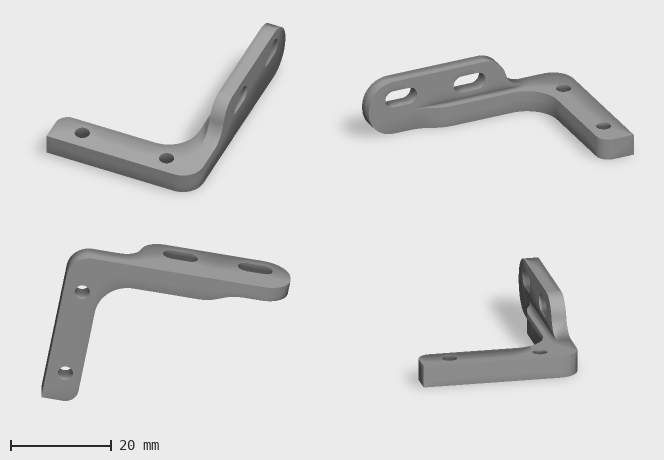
import cadquery as cq
import math

length_x = 32.0
length_y = 44.3
height = 11.5

base_height = 4.45
foot_width = 7.0
arm_width = 5.0
outer_corner_radius = 4.45
inner_corner_radius = 6.55
foot_end_radius = 2.6
taper_start_y = 26.65
taper_radius = 9.65

plate_thickness = 3.0
plate_end_radius = 5.5
shoulder_y = 19.0
shoulder_radius = 5.0
shoulder_foot_radius = 4.5

hole_diameter = 3.0
hole_y = 3.7
hole_xs = (6.05, 24.35)
slot_length = 7.0
slot_width = 3.6
slot_z = 7.6
slot_ys = (37.15, 22.1)

arm_x = length_x - arm_width
plate_x = length_x - plate_thickness


def make_base():
    """L-shaped base whose long arm narrows to the plate through an S-curve."""
    step = plate_x - arm_x
    turn = math.acos(1 - step / (2 * taper_radius))
    half_rise = taper_radius * math.sin(turn)
    bow = taper_radius * (1 - math.cos(turn / 2))
    bow_rise = taper_radius * math.sin(turn / 2)
    taper_end_y = taper_start_y + 2 * half_rise
    corner_cut = 1 - math.sqrt(0.5)
    outline = (
        cq.Workplane("XY")
        .moveTo(0, 0)
        .lineTo(length_x - outer_corner_radius, 0)
        .threePointArc(
            (length_x - outer_corner_radius * corner_cut, outer_corner_radius * corner_cut),
            (length_x, outer_corner_radius),
        )
        .lineTo(length_x, taper_end_y)
        .lineTo(plate_x, taper_end_y)
        .threePointArc(
            (plate_x - bow, taper_end_y - bow_rise),
            (arm_x + step / 2, taper_start_y + half_rise),
        )
        .threePointArc((arm_x + bow, taper_start_y + bow_rise), (arm_x, taper_start_y))
        .lineTo(arm_x, foot_width + inner_corner_radius)
        .threePointArc(
            (arm_x - inner_corner_radius * corner_cut, foot_width + inner_corner_radius * corner_cut),
            (arm_x - inner_corner_radius, foot_width),
        )
        .lineTo(foot_end_radius, foot_width)
        .threePointArc(
            (foot_end_radius * corner_cut, foot_width - foot_end_radius * corner_cut),
            (0, foot_width - foot_end_radius),
        )
        .close()
    )
    return outline.extrude(base_height)


def make_plate():
    """Upright plate with a rounded far end and a shoulder sweeping down to the base."""
    drop = height - base_height
    radius_sum = shoulder_radius + shoulder_foot_radius
    turn = math.acos(1 - drop / radius_sum)
    shoulder_z = height - shoulder_radius
    shoulder_foot_y = shoulder_y - radius_sum * math.sin(turn)
    shoulder_foot_z = base_height + shoulder_foot_radius
    tangent_point = (
        shoulder_y - shoulder_radius * math.sin(turn),
        shoulder_z + shoulder_radius * math.cos(turn),
    )
    shoulder_mid = (
        shoulder_y - shoulder_radius * math.sin(turn / 2),
        shoulder_z + shoulder_radius * math.cos(turn / 2),
    )
    shoulder_foot_mid = (
        shoulder_foot_y + shoulder_foot_radius * math.sin(turn / 2),
        shoulder_foot_z - shoulder_foot_radius * math.cos(turn / 2),
    )
    plate = (
        cq.Workplane("YZ", origin=(plate_x, 0, 0))
        .moveTo(shoulder_foot_y, 0)
        .lineTo(length_y, 0)
        .lineTo(length_y, height)
        .lineTo(shoulder_y, height)
        .threePointArc(shoulder_mid, tangent_point)
        .threePointArc(shoulder_foot_mid, (shoulder_foot_y, base_height))
        .close()
        .extrude(plate_thickness)
    )
    return plate.edges("|X and >Y").fillet(plate_end_radius)


def make_holes():
    """Vertical screw holes through the foot."""
    return (
        cq.Workplane("XY")
        .pushPoints([(x, hole_y) for x in hole_xs])
        .circle(hole_diameter / 2)
        .extrude(base_height)
    )


def make_slots():
    """Adjustment slots through the upright plate."""
    return (
        cq.Workplane("YZ", origin=(plate_x, 0, 0))
        .pushPoints([(y, slot_z) for y in slot_ys])
        .slot2D(slot_length, slot_width)
        .extrude(plate_thickness)
    )


result = make_base().union(make_plate()).cut(make_holes()).cut(make_slots())